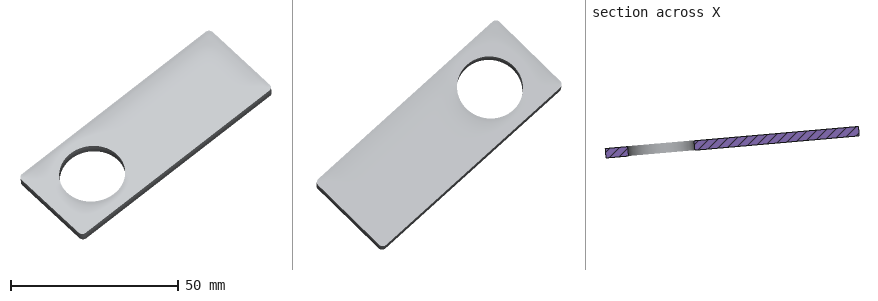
import cadquery as cq
import math

width = 28.95
level_length = 76.2
thickness = 3.0
tilt_angle = 5.0
corner_radius = 1.485
hole_diameter = 19.8
hole_offset = 21.3

tilt = math.radians(tilt_angle)
plate_length = (level_length - thickness * math.sin(tilt)) / math.cos(tilt)


def make_plate():
    """Flat plate centred on the origin, with rounded corners."""
    plate = cq.Workplane("XY").box(width, plate_length, thickness)
    return plate.edges("|Z").fillet(corner_radius)


def make_hole_cutter():
    """Cylinder through the full thickness, square to the plate face."""
    cutter = cq.Workplane("XY").center(0, -hole_offset).circle(hole_diameter / 2)
    return cutter.extrude(thickness, both=True)


flat_part = make_plate().cut(make_hole_cutter())
result = flat_part.rotate((0, 0, 0), (1, 0, 0), tilt_angle)